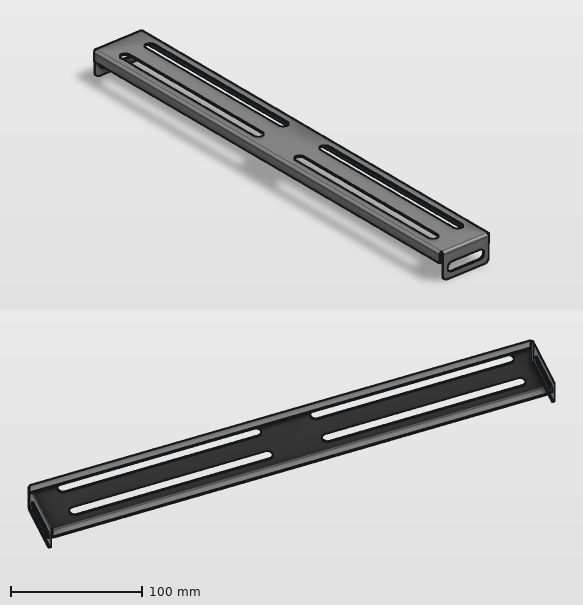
import cadquery as cq

length = 412.0
width = 49.5
height = 25.0

thickness = 1.5
bend_radius = 2.5
side_depth = 10.0
corner_relief = 2.0
end_corner_radius = 4.0

top_slot_width = 8.5
top_slot_pitch = 24.7
top_slot_margin = 20.0
top_slot_gap = 40.5
top_slot_length = (length - top_slot_gap) / 2 - top_slot_margin
top_slot_x = (top_slot_gap + top_slot_length) / 2
top_slot_y = top_slot_pitch / 2

end_slot_length = 36.3
end_slot_width = 8.5
end_slot_drop = 15.45


def channel_block(plane, span, depth, run, drop, radius):
    """Solid bar under Z = -drop, running along the plane normal, with its two upper edges rounded."""
    return (
        cq.Workplane(plane)
        .center(0, -drop - depth / 2)
        .rect(span, depth)
        .extrude(run / 2, both=True)
        .faces(">Z")
        .edges("|Y" if plane == "XZ" else "|X")
        .fillet(radius)
    )


def folded_channel(plane, span, depth, run):
    """Folded sheet with its web on top at Z = 0 and a flange hanging from each side."""
    outer = channel_block(plane, span, depth, run, 0, bend_radius)
    inner_span = span - 2 * thickness
    inner = channel_block(plane, inner_span, depth, run, thickness, bend_radius - thickness)
    return outer.cut(inner)


end_channel = folded_channel("XZ", length, height, width - 2 * corner_relief)
side_channel = folded_channel("YZ", width, side_depth, length - 2 * corner_relief)

flange_outline = (
    cq.Workplane("YZ")
    .center(0, -height / 2)
    .rect(width - 2 * corner_relief, height)
    .extrude(length / 2, both=True)
    .faces("<Z")
    .edges("|X")
    .fillet(end_corner_radius)
)

end_envelope = channel_block("XZ", length, height, width, 0, bend_radius)
side_envelope = channel_block("YZ", width, height, length, 0, bend_radius)
body = end_channel.intersect(flange_outline).union(side_channel)
body = body.intersect(end_envelope).intersect(side_envelope)

top_slots = (
    cq.Workplane("XY")
    .rect(2 * top_slot_x, 2 * top_slot_y, forConstruction=True)
    .vertices()
    .slot2D(top_slot_length, top_slot_width)
    .extrude(-2 * thickness)
)

end_slot = (
    cq.Workplane("YZ")
    .center(0, -end_slot_drop)
    .slot2D(end_slot_length, end_slot_width)
    .extrude(length, both=True)
)

result = body.cut(top_slots).cut(end_slot)